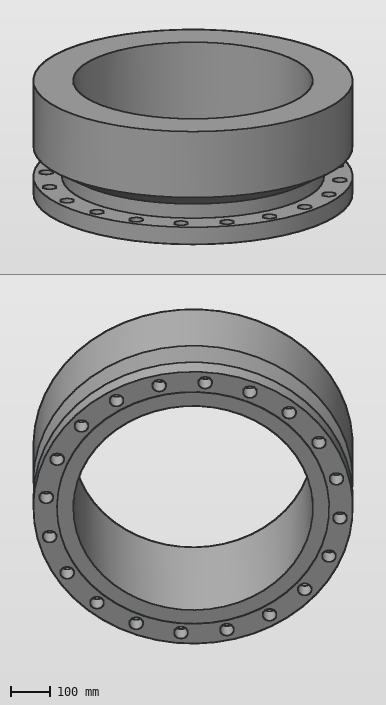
import cadquery as cq
import math

outer_diameter = 812.5
bore_diameter = 609.5
total_height = 305.0

raised_face_diameter = 692.0
raised_face_height = 2.0
flange_top = 48.0

neck_diameter = 668.0
neck_top = 86.0
cone_angle = 30.0

bolt_count = 20
bolt_circle_diameter = 749.0
bolt_hole_diameter = 35.0

outer_radius = outer_diameter / 2
bore_radius = bore_diameter / 2
raised_face_radius = raised_face_diameter / 2
neck_radius = neck_diameter / 2
cone_height = (outer_radius - neck_radius) * math.tan(math.radians(cone_angle))
cone_top = neck_top + cone_height


def make_body():
    """Revolve the half section (radius, height) around the Z axis."""
    section = [
        (bore_radius, 0),
        (raised_face_radius, 0),
        (raised_face_radius, raised_face_height),
        (outer_radius, raised_face_height),
        (outer_radius, flange_top),
        (neck_radius, flange_top),
        (neck_radius, neck_top),
        (outer_radius, cone_top),
        (outer_radius, total_height),
        (bore_radius, total_height),
    ]
    return cq.Workplane("XZ").polyline(section).close().revolve(360, (0, 0, 0), (0, 1, 0))


def make_bolt_holes():
    """Cylinders on the bolt circle, passing through the flange only."""
    return (
        cq.Workplane("XY")
        .polarArray(bolt_circle_diameter / 2, 0, 360, bolt_count)
        .circle(bolt_hole_diameter / 2)
        .extrude(flange_top)
    )


result = make_body().cut(make_bolt_holes())